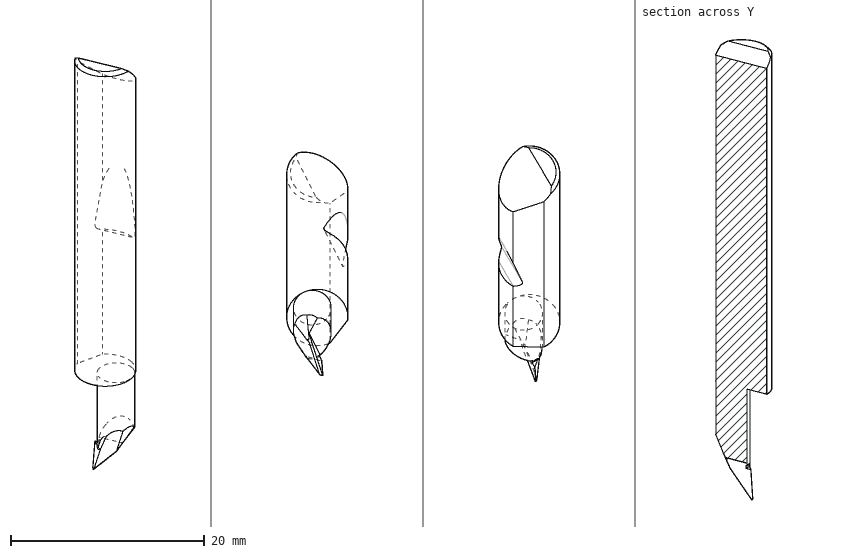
import cadquery as cq
import math

SHANK_DIAMETER = 6.35
SHANK_RADIUS = SHANK_DIAMETER / 2
TOTAL_LENGTH = 50.45
SHANK_LENGTH = 6 * SHANK_DIAMETER
SHANK_BOTTOM = TOTAL_LENGTH - SHANK_LENGTH
TOP_CHAMFER = 0.4

BEVEL_DEPTH = 0.7 * SHANK_DIAMETER

FLAT_DIRECTION = math.radians(150)
FLAT_HALF_ANGLE = math.radians(30)
FLAT_DISTANCE = SHANK_RADIUS * math.cos(FLAT_HALF_ANGLE)

NOTCH_TOP = 35.85
NOTCH_HEIGHT = 8.35
NOTCH_ANGLE = math.radians(10)
NOTCH_FILLET = 1.0

NECK_DIAMETER = 3.9
NECK_RADIUS = NECK_DIAMETER / 2
NECK_X = SHANK_RADIUS - NECK_RADIUS
NECK_BEVEL_BOTTOM = 4.0

TOOTH_HEIGHT = 3.4
POINT = (-1.29, 0.0)
NOSE_CORNER = (-1.42, 0.15)
TOOTH_SHOULDER = (-1.17, TOOTH_HEIGHT)
HEEL_CORNER = (1.37, 2.92)
HEEL_TOP = (SHANK_RADIUS, 6.1)

UNDERCUT_X = -0.6
UNDERCUT_HEIGHT = 0.3

TOOTH_BACK_POINT = (0.08, -1.35, 3.5)
HEEL_POINT = (1.9, -0.59, 4.25)
SIDE_FLANK_NORMAL = (-0.72, -0.69, 0.05)
RELIEF_NORMAL = (0.47, -0.776, -0.42)
NECK_RELIEF_NORMAL = (-0.06, -0.97, -0.24)
HEEL_NORMAL = (0.84, -0.34, -0.42)
HALF_SPACE_SIZE = 3 * TOTAL_LENGTH


def cut_beyond(body, point, normal):
    """Remove everything on the outward side of a plane."""
    plane = cq.Plane(origin=point, normal=normal)
    waste = cq.Workplane(plane).rect(HALF_SPACE_SIZE, HALF_SPACE_SIZE).extrude(HALF_SPACE_SIZE)
    return body.cut(waste)


def extrude_across(outline):
    """Extrude a (y, z) outline along X through the whole shank."""
    return cq.Workplane("YZ").polyline(outline).close().extrude(SHANK_RADIUS, both=True)


def make_notch():
    """Sloped floor meeting a perpendicular end wall, with a filleted corner."""
    floor_length = NOTCH_HEIGHT * math.cos(NOTCH_ANGLE)
    floor_y = SHANK_RADIUS - floor_length * math.sin(NOTCH_ANGLE)
    corner_z = NOTCH_TOP - floor_length * math.cos(NOTCH_ANGLE)
    bottom_z = NOTCH_TOP - NOTCH_HEIGHT
    outline = [
        (SHANK_RADIUS, NOTCH_TOP),
        (floor_y, corner_z),
        (SHANK_RADIUS, bottom_z),
    ]
    notch = extrude_across(outline)
    return notch.edges("|X and <Y").fillet(NOTCH_FILLET)


def make_shank():
    """Round shank with top chamfer, back bevel, side flat and clamping notch."""
    shank = cq.Workplane("XY").workplane(offset=SHANK_BOTTOM).circle(SHANK_RADIUS).extrude(SHANK_LENGTH)
    shank = shank.faces(">Z").chamfer(TOP_CHAMFER)
    bevel_point = (0, SHANK_RADIUS, TOTAL_LENGTH - BEVEL_DEPTH)
    shank = cut_beyond(shank, bevel_point, (0, 1, 1))
    flat_normal = (math.cos(FLAT_DIRECTION), math.sin(FLAT_DIRECTION), 0)
    flat_point = (FLAT_DISTANCE * flat_normal[0], FLAT_DISTANCE * flat_normal[1], SHANK_BOTTOM)
    shank = cut_beyond(shank, flat_point, flat_normal)
    return shank.cut(make_notch())


def neck_cylinder(height):
    """Neck-sized cylinder standing on the tooth shoulder."""
    return cq.Workplane("XY", origin=(NECK_X, 0, TOOTH_HEIGHT)).circle(NECK_RADIUS).extrude(height)


def make_neck():
    """Round neck, bevelled behind the rake plane and relieved at its lower end."""
    neck = neck_cylinder(SHANK_BOTTOM - TOOTH_HEIGHT)
    bevel_top = NECK_BEVEL_BOTTOM + NECK_RADIUS
    back = extrude_across([
        (0, TOOTH_HEIGHT),
        (0, NECK_BEVEL_BOTTOM),
        (NECK_RADIUS, bevel_top),
        (NECK_RADIUS, TOOTH_HEIGHT),
    ])
    undercut = cut_beyond(neck_cylinder(UNDERCUT_HEIGHT), (UNDERCUT_X, 0, TOOTH_HEIGHT), (1, 0, 0))
    neck = neck.cut(back).cut(undercut)
    neck = cut_beyond(neck, TOOTH_BACK_POINT, NECK_RELIEF_NORMAL)
    return cut_beyond(neck, HEEL_POINT, HEEL_NORMAL)


def make_tooth():
    """Cutting tooth on the -Y side of the rake plane."""
    outline = [POINT, NOSE_CORNER, TOOTH_SHOULDER, (SHANK_RADIUS, TOOTH_HEIGHT), (SHANK_RADIUS, 0)]
    tooth = cq.Workplane("XZ").polyline(outline).close().extrude(NECK_RADIUS)
    return cut_beyond(tooth, TOOTH_BACK_POINT, SIDE_FLANK_NORMAL)


def grind_tip(body):
    """Trim the tooth and neck along the leading edge, then relieve the front face."""
    trim_outline = [POINT, HEEL_CORNER, HEEL_TOP, (HEEL_TOP[0], POINT[1])]
    trim = cq.Workplane("XZ").polyline(trim_outline).close().extrude(NECK_RADIUS, both=True)
    return cut_beyond(body.cut(trim), TOOTH_BACK_POINT, RELIEF_NORMAL)


tip = grind_tip(make_neck().union(make_tooth()))
result = make_shank().union(tip)